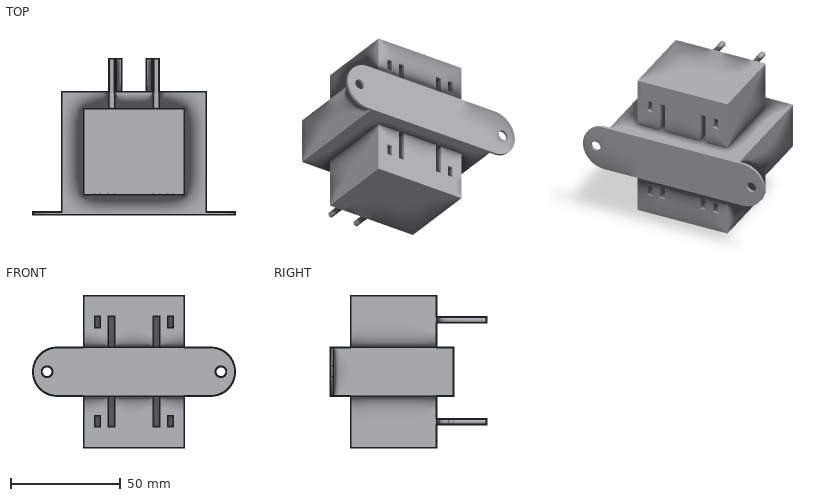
import cadquery as cq


strap_length = 92.5
strap_thickness = 1.3
hole_diameter = 4.8
hole_spacing = 79.4

core_width = 66.2
core_height = 22.3
core_back = 56.3

coil_width = 45.95
coil_height = 69.6
coil_front = 9.2
coil_back = 48.5

slot_x = 10.3
slot_width = 2.9
window_x = 16.7
window_width = 2.6
window_height = 5.2
recess_top = 25.2
recess_depth = 5.0

wire_diameter = 2.7
wire_end = 71.4
wire_x = 10.2
upper_wire_z = 23.7
lower_wire_z = -22.8
straight_lead = 1.3
bend_length = 6.2
bend_start = coil_back + straight_lead
bend_end = bend_start + bend_length
bend_offset = 3.2
wire_embed = 0.9


def box_between(width, height, y_start, y_end):
    """Block centred on X and Z that spans y_start to y_end."""
    depth = y_end - y_start
    return cq.Workplane("XY").box(width, depth, height).translate((0, y_start + depth / 2, 0))


def mounting_strap():
    """Round-ended strap, as tall as the core, with two mounting holes."""
    plane = cq.Workplane("XZ")
    strap = plane.slot2D(strap_length, core_height).extrude(-strap_thickness)
    hole_centres = [(-hole_spacing / 2, 0), (hole_spacing / 2, 0)]
    holes = plane.pushPoints(hole_centres).circle(hole_diameter / 2).extrude(-strap_thickness)
    return strap.cut(holes)


def front_recess(x, width, height, z_top):
    """Blind rectangular cutter entering the coil front."""
    recess = box_between(width, height, coil_front, coil_front + recess_depth)
    return recess.translate((x, 0, z_top - height / 2))


def coil():
    """Coil block with slots that continue behind the core and a window beside each slot end."""
    body = box_between(coil_width, coil_height, coil_front, coil_back)
    for side in (-1, 1):
        body = body.cut(front_recess(side * slot_x, slot_width, 2 * recess_top, recess_top))
        for z_top in (recess_top, window_height - recess_top):
            body = body.cut(front_recess(side * window_x, window_width, window_height, z_top))
    return body


def straight_wire(side):
    """Upper lead, straight out of the coil back."""
    start = coil_back - wire_embed
    plane = cq.Workplane("XZ", origin=(side * wire_x, start, upper_wire_z))
    return plane.circle(wire_diameter / 2).extrude(start - wire_end)


def bent_wire(side):
    """Lower lead, stepped inward by two equal tangent arcs."""
    start = coil_back - wire_embed
    outer_x = side * wire_x
    middle = (side * (wire_x - bend_offset / 2), (bend_start + bend_end) / 2)
    inner_x = side * (wire_x - bend_offset)
    path = (
        cq.Workplane("XY", origin=(0, 0, lower_wire_z))
        .moveTo(outer_x, start)
        .lineTo(outer_x, bend_start)
        .tangentArcPoint(middle, relative=False)
        .tangentArcPoint((inner_x, bend_end), relative=False)
        .lineTo(inner_x, wire_end)
    )
    plane = cq.Workplane("XZ", origin=(outer_x, start, lower_wire_z))
    return plane.circle(wire_diameter / 2).sweep(path)


core = box_between(core_width, core_height, strap_thickness, core_back)
result = coil().union(core).union(mounting_strap())
for side in (-1, 1):
    result = result.union(straight_wire(side)).union(bent_wire(side))